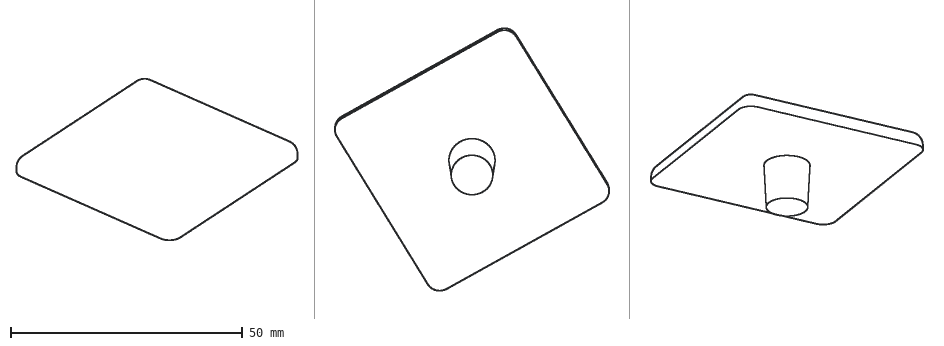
import cadquery as cq

cap_side = 45.0
cap_thickness = 4.0
edge_radius = 3.0

stem_length = 10.0
stem_root_diameter = 10.0
stem_tip_diameter = 9.0


def make_cap():
    """Square plate with its underside at Z = 0 and rounded corners and top rim."""
    plate = cq.Workplane("XY").box(cap_side, cap_side, cap_thickness, centered=(True, True, False))
    return plate.edges("|Z or >Z").fillet(edge_radius)


def make_stem():
    """Solid stem that narrows downward from the underside of the cap."""
    return (
        cq.Workplane("XY")
        .circle(stem_root_diameter / 2)
        .workplane(offset=-stem_length)
        .circle(stem_tip_diameter / 2)
        .loft(ruled=True)
    )


result = make_cap().union(make_stem())